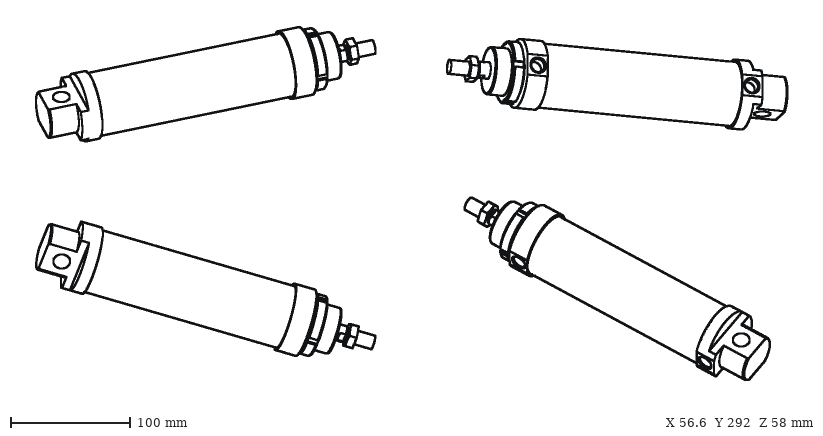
import cadquery as cq
import math

TOTAL_LENGTH = 292

FLANGE_REAR = 24.8
FLANGE_STEP = 31.8
BARREL_REAR = 42.5
BARREL_FRONT = 214.0
CAP_FRONT = 231.8
NOSE_FRONT = 257.5

BARREL_DIAMETER = 54.0
CAP_DIAMETER = 58.0
CAP_WIDTH = 56.6
NOSE_DIAMETER = 40.0
NOSE_END_DIAMETER = 38.5
END_CHAMFER_LENGTH = 1.2
LUG_THICKNESS = 30.0
PIN_HOLE_DIAMETER = 14.0
PIN_HOLE_Y = 16.0

PORT_FLAT_X = CAP_DIAMETER / 2 - CAP_WIDTH
PORT_DIAMETER = 11.5
PORT_MOUTH_DIAMETER = 13.5
PORT_CHAMFER = (PORT_MOUTH_DIAMETER - PORT_DIAMETER) / 2
PORT_DEPTH = 10.2
FRONT_PORT_Y = 222.5
REAR_PORT_Y = 34.2

ROD_DIAMETER = 14.0
ROD_SHOULDER_Y = 267.0
ROD_FLAT_LENGTH = 5.8
ROD_FLAT_END_RADIUS = 7.0
ROD_ACROSS_FLATS = 12.0
THREAD_DIAMETER = 12.0
UNDERCUT_DIAMETER = 10.2

ROD_NUT_REAR = 269.0
ROD_NUT_THICKNESS = 6.7
ROD_NUT_ACROSS_FLATS = 19.0
ROD_NUT_ACROSS_CORNERS = ROD_NUT_ACROSS_FLATS / math.cos(math.pi / 6)
ROD_NUT_CHAMFER = 1.0

RING_NUT_REAR = 234.5
RING_NUT_THICKNESS = 8.8
RING_NUT_DIAMETER = 52.3
RING_NUT_CHAMFER = 1.2
SLOT_COUNT = 4
SLOT_WIDTH = 5.0
SLOT_DEPTH = 2.0


def cylinder(diameter, y_start, y_end):
    """Round bar on the Y axis between two stations."""
    plane = cq.Plane(origin=(0, y_start, 0), xDir=(1, 0, 0), normal=(0, 1, 0))
    return cq.Workplane(plane).circle(diameter / 2).extrude(y_end - y_start)


def block(x_range, y_range, z_range):
    """Box spanning the given ranges."""
    ranges = (x_range, y_range, z_range)
    sizes = [end - start for start, end in ranges]
    corner = tuple(start for start, _ in ranges)
    return cq.Workplane("XY").box(*sizes, centered=False).translate(corner)


def chamfered_end(y_root, y_tip):
    """Nose or lug blank: full diameter at the root, tapering over a short chamfer to the tip."""
    direction = math.copysign(1, y_tip - y_root)
    y_chamfer = y_tip - direction * END_CHAMFER_LENGTH
    profile = cq.Workplane("XY").polyline([
        (0, y_root),
        (NOSE_DIAMETER / 2, y_root),
        (NOSE_DIAMETER / 2, y_chamfer),
        (NOSE_END_DIAMETER / 2, y_tip),
        (0, y_tip),
    ]).close()
    return profile.revolve(360, (0, 0, 0), (0, 1, 0))


def make_port(y):
    """Blind port with a chamfered mouth, entering from the -X flat."""
    plane = cq.Plane(origin=(PORT_FLAT_X, y, 0), xDir=(0, 1, 0), normal=(1, 0, 0))
    drill = cq.Workplane(plane).circle(PORT_DIAMETER / 2).extrude(PORT_DEPTH)
    mouth = (
        cq.Workplane(plane).circle(PORT_MOUTH_DIAMETER / 2)
        .workplane(offset=PORT_CHAMFER).circle(PORT_DIAMETER / 2).loft()
    )
    return drill.union(mouth)


def make_caps():
    """Front and rear caps with a port flat on the -X side."""
    caps = cylinder(CAP_DIAMETER, FLANGE_REAR, BARREL_REAR)
    caps = caps.union(cylinder(CAP_DIAMETER, BARREL_FRONT, CAP_FRONT))
    flat_cut = block(
        (-CAP_DIAMETER, PORT_FLAT_X), (0, TOTAL_LENGTH), (-CAP_DIAMETER, CAP_DIAMETER)
    )
    return caps.cut(flat_cut)


def make_housing():
    """Barrel, caps, front nose and flattened rear lug."""
    nose = chamfered_end(CAP_FRONT, NOSE_FRONT)
    lug = chamfered_end(FLANGE_REAR, 0)
    barrel = cylinder(BARREL_DIAMETER, BARREL_REAR, BARREL_FRONT)
    housing = barrel.union(make_caps()).union(nose).union(lug)
    half_lug = LUG_THICKNESS / 2
    for z_range in ((half_lug, CAP_DIAMETER), (-CAP_DIAMETER, -half_lug)):
        housing = housing.cut(block((-CAP_DIAMETER, CAP_DIAMETER), (0, FLANGE_STEP), z_range))

    pin_hole = (
        cq.Workplane("XY").center(0, PIN_HOLE_Y)
        .circle(PIN_HOLE_DIAMETER / 2).extrude(LUG_THICKNESS, both=True)
    )
    housing = housing.cut(pin_hole)
    for port_y in (REAR_PORT_Y, FRONT_PORT_Y):
        housing = housing.cut(make_port(port_y))
    return housing.cut(cylinder(ROD_DIAMETER, BARREL_FRONT, NOSE_FRONT))


def make_rod():
    """Rod with round-ended wrench flats, an undercut and a threaded end."""
    rod = cylinder(ROD_DIAMETER, BARREL_FRONT, ROD_SHOULDER_Y)
    cutter_y = ROD_SHOULDER_Y - ROD_FLAT_LENGTH + ROD_FLAT_END_RADIUS
    for side in (1, -1):
        cutter = (
            cq.Workplane("XY", origin=(0, cutter_y, side * ROD_ACROSS_FLATS / 2))
            .circle(ROD_FLAT_END_RADIUS).extrude(side * ROD_DIAMETER)
        )
        rod = rod.cut(cutter)
    undercut = cylinder(UNDERCUT_DIAMETER, ROD_SHOULDER_Y, ROD_NUT_REAR)
    thread = cylinder(THREAD_DIAMETER, ROD_NUT_REAR, TOTAL_LENGTH)
    return rod.union(undercut).union(thread)


def make_rod_nut():
    """Hexagon nut with corners on the X axis and rear corner tips turned off."""
    nut_front = ROD_NUT_REAR + ROD_NUT_THICKNESS
    plane = cq.Plane(origin=(0, ROD_NUT_REAR, 0), xDir=(1, 0, 0), normal=(0, 1, 0))
    hexagon = cq.Workplane(plane).polygon(6, ROD_NUT_ACROSS_CORNERS).extrude(ROD_NUT_THICKNESS)
    envelope = cylinder(ROD_NUT_ACROSS_CORNERS, ROD_NUT_REAR, nut_front)
    envelope = envelope.faces("<Y").chamfer(ROD_NUT_CHAMFER)
    return hexagon.intersect(envelope).cut(cylinder(THREAD_DIAMETER, ROD_NUT_REAR, nut_front))


def make_ring_nut():
    """Round nut with evenly spaced wrench slots across its rim."""
    nut_front = RING_NUT_REAR + RING_NUT_THICKNESS
    nut = cylinder(RING_NUT_DIAMETER, RING_NUT_REAR, nut_front)
    nut = nut.faces(">Y").chamfer(RING_NUT_CHAMFER)
    nut = nut.cut(cylinder(NOSE_DIAMETER, RING_NUT_REAR, nut_front))
    slot = block(
        (-SLOT_WIDTH / 2, SLOT_WIDTH / 2),
        (RING_NUT_REAR, nut_front),
        (RING_NUT_DIAMETER / 2 - SLOT_DEPTH, RING_NUT_DIAMETER),
    )
    for index in range(SLOT_COUNT):
        angle = index * 360 / SLOT_COUNT
        nut = nut.cut(slot.rotate((0, 0, 0), (0, 1, 0), angle))
    return nut


housing = make_housing()
rod = make_rod()
rod_nut = make_rod_nut()
ring_nut = make_ring_nut()

result = cq.Compound.makeCompound([housing.val(), rod.val(), rod_nut.val(), ring_nut.val()])